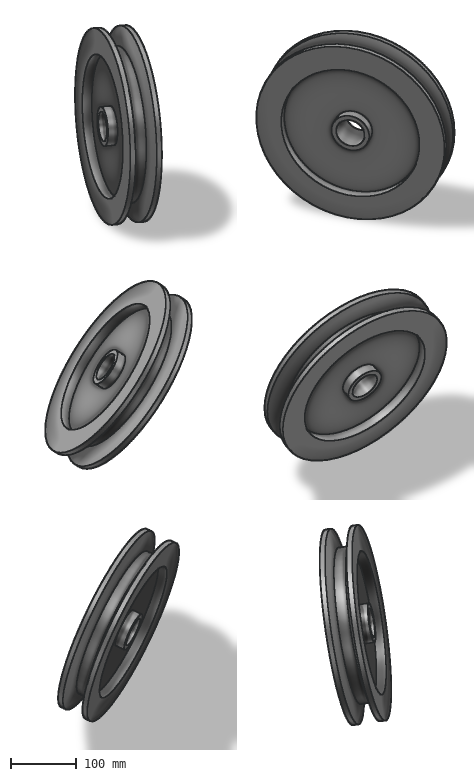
import cadquery as cq

wheel_diameter = 300.0
wheel_width = 50.0
groove_diameter = 240.0
rim_land_width = 8.5
groove_floor_width = 18.0
recess_diameter = 220.2
recess_depth = 15.0
hub_diameter = 60.0
bore_diameter = 45.0

wheel_radius = wheel_diameter / 2
groove_radius = groove_diameter / 2
half_width = wheel_width / 2
groove_mouth_half = half_width - rim_land_width
groove_floor_half = groove_floor_width / 2
recess_floor = half_width - recess_depth


def make_wheel():
    """Revolve the outer profile, with its flared rope groove."""
    profile = [
        (0, -half_width),
        (wheel_radius, -half_width),
        (wheel_radius, -groove_mouth_half),
        (groove_radius, -groove_floor_half),
        (groove_radius, groove_floor_half),
        (wheel_radius, groove_mouth_half),
        (wheel_radius, half_width),
        (0, half_width),
    ]
    return cq.Workplane("XY").polyline(profile).close().revolve(360, (0, 0), (0, 1))


def make_recess(side):
    """Ring-shaped recess between hub and rim; side is -1 or 1 along Y."""
    return (
        cq.Workplane("XZ", origin=(0, side * recess_floor, 0))
        .circle(recess_diameter / 2)
        .circle(hub_diameter / 2)
        .extrude(-side * recess_depth)
    )


result = make_wheel()
for face_side in (-1, 1):
    result = result.cut(make_recess(face_side))

bore = cq.Workplane("XZ").circle(bore_diameter / 2).extrude(half_width, both=True)
result = result.cut(bore)